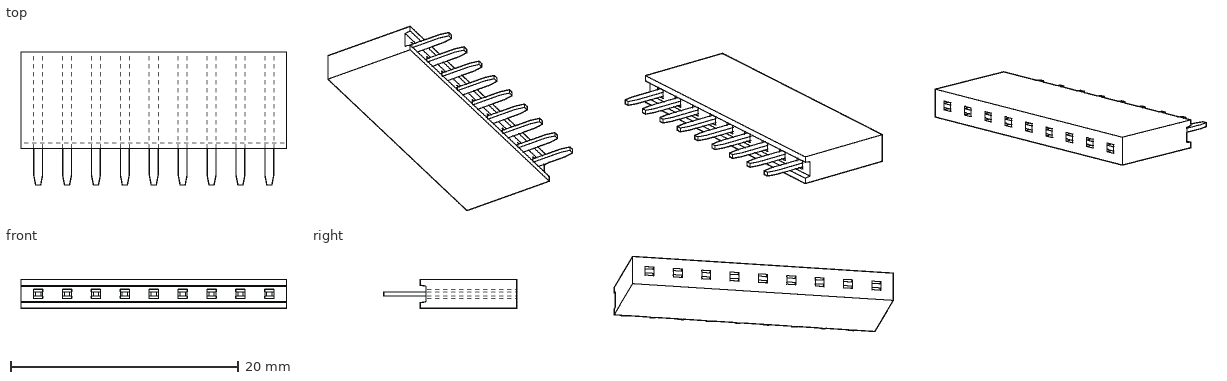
import cadquery as cq

housing_length = 23.37
housing_depth = 8.5
housing_height = 2.55
groove_depth = 0.51
groove_mouth_height = 1.52
groove_floor_height = 1.35

pin_count = 9
end_distance = 1.52
pin_pitch = (housing_length - 2 * end_distance) / (pin_count - 1)
overall_depth = 11.7
pin_width = 0.8
pin_thickness = 0.37
tip_width = 0.47
tip_length = 0.86

passage_size = pin_width

pin_positions = [(i - (pin_count - 1) / 2) * pin_pitch for i in range(pin_count)]
tip_y = housing_depth - overall_depth


def make_housing():
    """Grooved bar, extruded along X, with one square passage per contact."""
    half_height = housing_height / 2
    half_mouth = groove_mouth_height / 2
    half_floor = groove_floor_height / 2
    section = [
        (0, half_height),
        (0, half_mouth),
        (groove_depth, half_floor),
        (groove_depth, -half_floor),
        (0, -half_mouth),
        (0, -half_height),
        (housing_depth, -half_height),
        (housing_depth, half_height),
    ]
    body = cq.Workplane("YZ").polyline(section).close().extrude(housing_length / 2, both=True)
    passages = (
        cq.Workplane("XZ")
        .pushPoints([(x, 0) for x in pin_positions])
        .rect(passage_size, passage_size)
        .extrude(-housing_depth)
    )
    return body.cut(passages)


def make_pin(x):
    """Flat contact centred on x, flush with the housing rear and tapered in width at its tip."""
    half_width = pin_width / 2
    half_tip = tip_width / 2
    taper_start_y = tip_y + tip_length
    outline = [
        (-half_width, housing_depth),
        (-half_width, taper_start_y),
        (-half_tip, tip_y),
        (half_tip, tip_y),
        (half_width, taper_start_y),
        (half_width, housing_depth),
    ]
    pin = cq.Workplane("XY").polyline(outline).close().extrude(pin_thickness / 2, both=True)
    return pin.translate((x, 0, 0))


housing = make_housing()
pins = [make_pin(x) for x in pin_positions]

result = cq.Compound.makeCompound([housing.val(), *[pin.val() for pin in pins]])